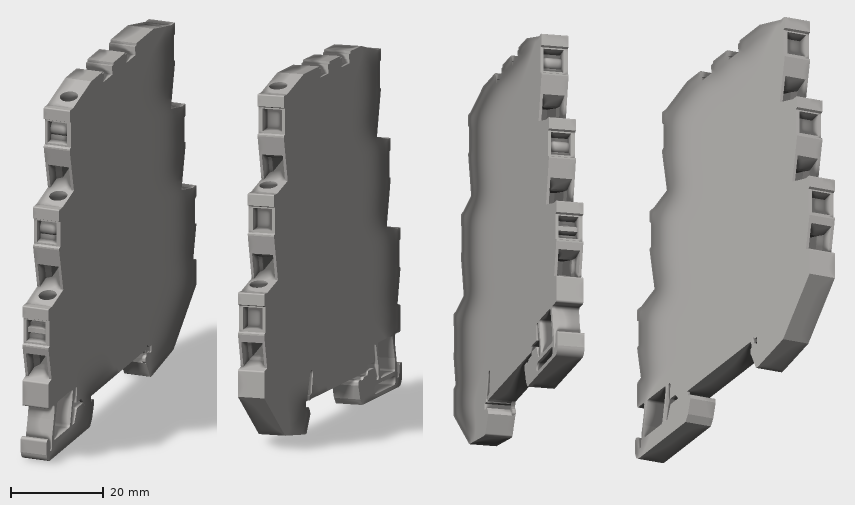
import cadquery as cq
import math

THICKNESS = 6.1
HEIGHT = 79.6
NEAR_X = -THICKNESS / 2
FAR_X = THICKNESS / 2

TIER_COUNT = 3
TOP_TIER_HALF_WIDTH = 31.0
TOP_TIER_Z = 76.9
TIER_STEP_Y = 6.25
TIER_STEP_Z = 20.8
TREAD_FLAT = 2.1
SLOPE = 0.25
TREAD_EDGE_RADIUS = 0.3
FACE_TOP_DROP = 2.6
FACE_BOTTOM_DROP = 8.9
LIP_BEVEL = 0.3
FACE_INSET = 0.66
RISER_TOP_DROP = 9.25

SHOULDER_HALF_WIDTH = TOP_TIER_HALF_WIDTH + (TIER_COUNT - 1) * TIER_STEP_Y
SHOULDER_Z = 18.2
SHOULDER_RADIUS = 0.35
ARM_Z = 12.3
RAIL_Z = 7.1

NOTCH_CENTRES = (5.0, -8.5)
NOTCH_DEPTH = 2.55
NOTCH_STEP_DROP = 0.5
NOTCH_FLARE_DROP = 1.7
NOTCH_MOUTH_HALF = 3.2
NOTCH_NECK_HALF = 2.3
NOTCH_BASE_HALF = 2.55

HOLE_DIAMETER = 4.0
HOLE_DEPTH = 2.6
HOLE_X = 0.4
HOLE_INSET = 6.1

WINDOW_X_MIN = -2.4
WINDOW_X_MAX = 2.1
WINDOW_WIDTH = WINDOW_X_MAX - WINDOW_X_MIN
WINDOW_DROP = 5.7
WINDOW_HEIGHT = 5.0
WINDOW_DEPTH = 3.2
WINDOW_TAPER = 0.3

PIN_DIAMETER = 2.9
PIN_TIERS = (0, 1)

BAR_TIER = 2
BAR_TOP = 1.15
BAR_STEP = 0.4
BAR_BOTTOM = -0.6
BAR_ROOT = -0.9
BAR_REACH = 2.3
BAR_STEP_REACH = 0.7

SILL_TOP = -1.3
SILL_REACH = 1.2

ENTRY_X_HALF = 2.42
ENTRY_HEIGHT = 5.9
THROAT_X_MIN = -1.2
THROAT_X_MAX = 1.85
CHAMBER_DEPTH = 3.6
THROAT_START = 4.4
THROAT_END = 12.3
ENTRY_SHAPES = ((3.7, 0.0, 3.35), (3.7, 0.0, 3.35), (4.4, 0.5, 4.05))

WEB = 0.8

FLEX_TOP = (13.3, 12.6)
FLEX_BOTTOM = (14.9, 6.7)
FLEX_WIDTH = 1.85

FOOT_SLOT_CENTRE = (-33.7, 2.2)
FOOT_SLOT_LENGTH = 13.7
FOOT_SLOT_WIDTH = 2.0


def tier_half_width(tier):
    return TOP_TIER_HALF_WIDTH + tier * TIER_STEP_Y


def tier_z(tier):
    return TOP_TIER_Z - tier * TIER_STEP_Z


def tread_height(tier, y):
    """Height of a tier's sloping tread at distance y from the mirror plane."""
    return tier_z(tier) + SLOPE * (tier_half_width(tier) - TREAD_FLAT - y)


def riser_foot(tier):
    """Point (y, z) on the +Y side where a riser meets the slope below it."""
    riser_y = tier_half_width(tier)
    riser_z = tier_z(tier) - RISER_TOP_DROP
    if tier < TIER_COUNT - 1:
        base_y, base_z = riser_y, tread_height(tier + 1, riser_y)
    else:
        base_y, base_z = SHOULDER_HALF_WIDTH, SHOULDER_Z
    drop = (riser_z - base_z - SLOPE * (base_y - riser_y)) / (1 + SLOPE**2)
    return riser_y - SLOPE * drop, riser_z - drop


def rounded_outline(corners, start_x, length):
    """Extrude a closed (y, z) outline along X. A corner's third value is its rounding radius."""
    ends = []
    count = len(corners)
    for i, corner in enumerate(corners):
        here = cq.Vector(corner[0], corner[1])
        radius = corner[2] if len(corner) > 2 else 0
        if not radius:
            ends.append((here, None, here))
            continue
        back = (cq.Vector(*corners[i - 1][:2]) - here).normalized()
        ahead = (cq.Vector(*corners[(i + 1) % count][:2]) - here).normalized()
        half_angle = back.getAngle(ahead) / 2
        setback = radius / math.tan(half_angle)
        to_middle = radius / math.sin(half_angle) - radius
        middle = here + (back + ahead).normalized() * to_middle
        ends.append((here + back * setback, middle, here + ahead * setback))
    sketch = cq.Workplane("YZ", origin=(start_x, 0, 0)).moveTo(*ends[0][2].toTuple()[:2])
    for first, middle, last in ends[1:] + ends[:1]:
        sketch = sketch.lineTo(*first.toTuple()[:2])
        if middle is not None:
            sketch = sketch.threePointArc(middle.toTuple()[:2], last.toTuple()[:2])
    return sketch.wire().extrude(length)


def tier_corners():
    """Outline of the +Y flank from the top edge down to the shoulder."""
    top_rise = (HEIGHT - TOP_TIER_Z) / SLOPE
    corners = [(TOP_TIER_HALF_WIDTH - TREAD_FLAT - top_rise, HEIGHT)]
    for tier in range(TIER_COUNT):
        width = tier_half_width(tier)
        z = tier_z(tier)
        corners += [
            (width - TREAD_FLAT, z),
            (width, z, TREAD_EDGE_RADIUS),
            (width, z - FACE_TOP_DROP),
            (width - FACE_INSET, z - FACE_TOP_DROP - LIP_BEVEL),
            (width - FACE_INSET, z - FACE_BOTTOM_DROP + LIP_BEVEL),
            (width, z - FACE_BOTTOM_DROP),
            (width, z - RISER_TOP_DROP),
            riser_foot(tier),
        ]
    corners.append((SHOULDER_HALF_WIDTH, SHOULDER_Z, SHOULDER_RADIUS))
    return corners


def plate():
    """Housing plate with the fixed hook on +Y and the sprung foot on -Y."""
    flank = tier_corners()
    fixed_hook = [
        (SHOULDER_HALF_WIDTH, ARM_Z),
        (30.1, 1.85),
        (17.6, 0, 0.4),
        (16.5, 0, 0.4),
        (14.0, 4.0),
        (14.45, 4.85),
        (15.15, 5.6),
        (17.0, 5.6, 0.3),
        (17.0, RAIL_Z),
        (15.9, RAIL_Z),
        (14.5, 8.1),
        (14.5, 7.0),
        (13.6, RAIL_Z),
    ]
    foot_top = [
        (-21.7, RAIL_Z),
        (-22.5, 8.5),
        (-27.0, 8.5),
        (-26.8, 12.25, 0.4),
        (-27.8, 12.25, 0.4),
        (-29.3, 7.5),
        (-29.8, 4.1, 0.5),
        (-28.4, 4.1, 0.35),
        (-26.7, RAIL_Z, 0.4),
        (-22.9, RAIL_Z),
        (-22.5, 6.25),
        (-20.2, 6.25),
        (-19.6, 5.7),
        (-18.4, 5.7),
        (-18.2, 6.0),
        (-16.7, 6.0, 0.5),
    ]
    foot_bottom = [
        (-16.65, 4.9),
        (-17.9, 1.7),
        (-19.1, 0.3),
        (-44.05, 0.3, 1.9),
        (-44.6, 2.1),
        (-44.6, 5.5, 0.5),
        (-43.2, 5.5, 0.5),
        (-42.65, 2.4, 0.5),
        (-41.6, 2.4, 0.35),
        (-41.4, 5.3, 7.05),
        (-40.1, 10.1, 13.2),
        (-39.9, ARM_Z, 0.5),
        (-SHOULDER_HALF_WIDTH, ARM_Z, 0.4),
    ]
    far_flank = [(-corner[0], *corner[1:]) for corner in reversed(flank)]
    return rounded_outline(flank + fixed_hook + foot_top + foot_bottom + far_flank, NEAR_X, THICKNESS)


def foot_opening():
    """Four-sided opening between the two spring legs of the foot."""
    corners = [
        (-29.1, ARM_Z, 0.5),
        (-38.3, ARM_Z, 0.5),
        (-39.9, 7.05),
        (-40.3, 4.1, 0.4),
        (-30.9, 4.1, 0.7),
        (-29.4, 10.1),
    ]
    return rounded_outline(corners, NEAR_X, THICKNESS)


def foot_slot():
    return (
        cq.Workplane("YZ", origin=(NEAR_X, 0, 0))
        .center(*FOOT_SLOT_CENTRE)
        .slot2D(FOOT_SLOT_LENGTH, FOOT_SLOT_WIDTH)
        .extrude(THICKNESS - WEB)
    )


def flexing_slot():
    """Slanting slot that opens into the mouth of the fixed hook."""
    run_y = FLEX_BOTTOM[0] - FLEX_TOP[0]
    run_z = FLEX_TOP[1] - FLEX_BOTTOM[1]
    length = math.hypot(run_y, run_z)
    side_y = FLEX_WIDTH / 2 * run_z / length
    side_z = FLEX_WIDTH / 2 * run_y / length
    end_radius = FLEX_WIDTH / 2
    crown = (FLEX_TOP[0] - end_radius * run_y / length, FLEX_TOP[1] + end_radius * run_z / length)
    return (
        cq.Workplane("YZ", origin=(NEAR_X, 0, 0))
        .moveTo(15.95, 7.9)
        .lineTo(FLEX_TOP[0] + side_y, FLEX_TOP[1] + side_z)
        .threePointArc(crown, (FLEX_TOP[0] - side_y, FLEX_TOP[1] - side_z))
        .lineTo(13.2, 8.2)
        .lineTo(14.6, 8.1)
        .lineTo(15.15, 7.2)
        .lineTo(15.95, RAIL_Z)
        .close()
        .extrude(THICKNESS - WEB)
    )


def webs():
    """Thin far-side walls bridging the gaps beside the fixed hook and above the sprung foot."""
    hook_web = [
        (15.9, 5.5),
        (15.9, 6.1),
        (14.8, 6.1),
        (14.8, 6.8),
        (14.5, 7.9),
        (13.6, 7.4),
        (14.3, 6.2),
        (14.3, 5.7),
        (13.6, 5.3, 0.4),
        (13.6, 4.4, 0.4),
        (14.2, 3.9),
    ]
    foot_web = [
        (-18.4, 5.55),
        (-18.4, 7.4),
        (-21.5, 7.4),
        (-22.3, 8.7),
        (-24.3, 8.5),
        (-22.7, 7.05),
        (-22.3, 6.1),
        (-19.4, 5.55),
    ]
    start_x = FAR_X - WEB
    return rounded_outline(hook_web, start_x, WEB).union(rounded_outline(foot_web, start_x, WEB))


def label_notch(centre):
    floor = HEIGHT - NOTCH_DEPTH
    flare = HEIGHT - NOTCH_FLARE_DROP
    step = HEIGHT - NOTCH_STEP_DROP
    half = [
        (NOTCH_BASE_HALF, floor),
        (NOTCH_BASE_HALF, flare),
        (NOTCH_NECK_HALF, flare),
        (NOTCH_NECK_HALF, step),
        (NOTCH_MOUTH_HALF, step),
        (NOTCH_MOUTH_HALF, HEIGHT),
    ]
    corners = [(centre + y, z) for y, z in half] + [(centre - y, z) for y, z in reversed(half)]
    return rounded_outline(corners, NEAR_X, THICKNESS)


def tread_hole(tier):
    y = tier_half_width(tier) - HOLE_INSET
    plane = cq.Plane(
        origin=(HOLE_X, y, tread_height(tier, y)), xDir=(1, 0, 0), normal=(0, -SLOPE, -1)
    )
    return cq.Workplane(plane).circle(HOLE_DIAMETER / 2).extrude(HOLE_DEPTH)


def window(tier):
    face = tier_half_width(tier) - FACE_INSET
    back = face - WINDOW_DEPTH
    middle = tier_z(tier) - WINDOW_DROP
    mouth_half = WINDOW_HEIGHT / 2
    back_half = mouth_half - WINDOW_TAPER
    corners = [
        (face, middle - mouth_half),
        (face, middle + mouth_half),
        (back, middle + back_half),
        (back, middle - back_half),
    ]
    return rounded_outline(corners, WINDOW_X_MIN, WINDOW_WIDTH)


def tapered_block(plane, near, far):
    """Loft between two sections, each (depth, x_min, x_max, bottom, top), the local Y axis running up."""
    near_depth, near_left, near_right, near_bottom, near_top = near
    far_depth, far_left, far_right, far_bottom, far_top = far
    near_centre = ((near_left + near_right) / 2, (near_bottom + near_top) / 2)
    far_centre = ((far_left + far_right) / 2, (far_bottom + far_top) / 2)
    return (
        cq.Workplane(plane)
        .workplane(offset=near_depth)
        .center(*near_centre)
        .rect(near_right - near_left, near_top - near_bottom)
        .workplane(offset=far_depth - near_depth)
        .center(far_centre[0] - near_centre[0], far_centre[1] - near_centre[1])
        .rect(far_right - far_left, far_top - far_bottom)
        .loft(ruled=True)
    )


def wire_entry(tier):
    """Chamber with a sloping roof, a short funnel and a straight throat, driven in along the tread."""
    chamber_top, throat_bottom, throat_top = ENTRY_SHAPES[tier]
    foot_y, foot_z = riser_foot(tier)
    plane = cq.Plane(origin=(0, foot_y, foot_z), xDir=(1, 0, 0), normal=(0, -1, SLOPE))
    throat = (THROAT_X_MIN, THROAT_X_MAX, throat_bottom, throat_top)
    sections = [
        (0, -ENTRY_X_HALF, ENTRY_X_HALF, 0, ENTRY_HEIGHT),
        (CHAMBER_DEPTH, -ENTRY_X_HALF, ENTRY_X_HALF, 0, chamber_top),
        (THROAT_START, *throat),
        (THROAT_END, *throat),
    ]
    chamber, funnel, bore = [
        tapered_block(plane, near, far) for near, far in zip(sections, sections[1:])
    ]
    return chamber.union(funnel).union(bore)


def stepped_bar():
    """Bar standing out from the back of the lowest -Y window."""
    back = -(tier_half_width(BAR_TIER) - FACE_INSET - WINDOW_DEPTH)
    middle = tier_z(BAR_TIER) - WINDOW_DROP
    corners = [
        (back, middle + BAR_TOP),
        (back - BAR_STEP_REACH, middle + BAR_TOP),
        (back - BAR_STEP_REACH, middle + BAR_STEP),
        (back - BAR_REACH, middle + BAR_STEP),
        (back - BAR_REACH, middle + BAR_BOTTOM),
        (back - BAR_STEP_REACH, middle + BAR_ROOT),
        (back, middle + BAR_ROOT),
    ]
    return rounded_outline(corners, WINDOW_X_MIN, WINDOW_WIDTH)


def sill(tier):
    back = -(tier_half_width(tier) - FACE_INSET - WINDOW_DEPTH)
    middle = tier_z(tier) - WINDOW_DROP
    corners = [
        (back, middle + SILL_TOP),
        (back - SILL_REACH, middle + SILL_TOP),
        (back - SILL_REACH, middle - WINDOW_HEIGHT / 2),
        (back, middle - WINDOW_HEIGHT / 2),
    ]
    return rounded_outline(corners, WINDOW_X_MIN, WINDOW_WIDTH)


def clamping_pin(tier):
    """Pin across a -Y window, its axis in the plane of the window's back wall."""
    axis_y = -(tier_half_width(tier) - FACE_INSET - WINDOW_DEPTH)
    axis_z = tier_z(tier) - WINDOW_DROP
    return (
        cq.Workplane("YZ", origin=(WINDOW_X_MIN, axis_y, axis_z))
        .circle(PIN_DIAMETER / 2)
        .extrude(WINDOW_WIDTH)
    )


def build_housing(pins):
    body = plate().cut(foot_opening()).cut(foot_slot()).cut(flexing_slot()).union(webs())
    for centre in NOTCH_CENTRES:
        body = body.cut(label_notch(centre))
    for tier in range(TIER_COUNT):
        for cutter in (tread_hole(tier), window(tier), wire_entry(tier)):
            body = body.cut(cutter).cut(cutter.mirror("XZ"))
        body = body.union(sill(tier))
    body = body.union(stepped_bar())
    for pin in pins:
        body = body.cut(pin)
    return body


clamping_pins = [clamping_pin(tier) for tier in PIN_TIERS]
housing = build_housing(clamping_pins)

result = cq.Compound.makeCompound([housing.val(), *[pin.val() for pin in clamping_pins]])